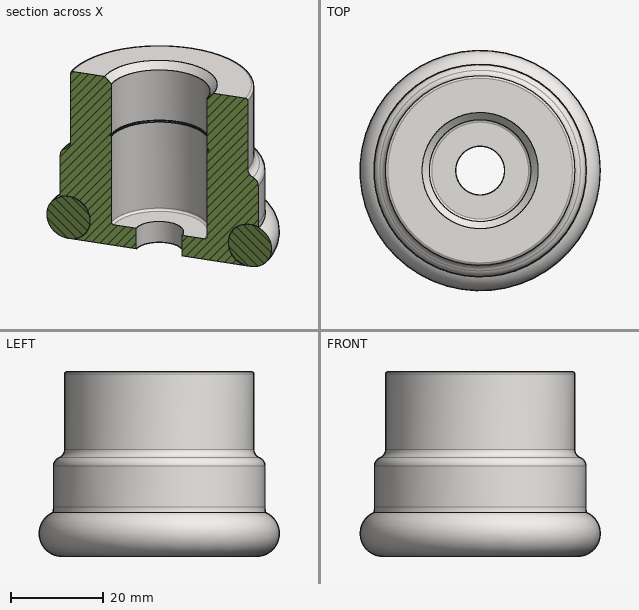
import cadquery as cq
import math

ring_outer_diameter = 52.0
total_height = 40.0

ring_section_radius = 5.0
ring_centre_radius = ring_outer_diameter / 2 - ring_section_radius

neck_radius = 41.0 / 2
neck_edge_radius = 0.5
collar_radius = 45.8 / 2
neck_fillet_top = 23.2
collar_edge_height = 19.55
collar_bottom = 10.7

bore_radius = 22.0 / 2
bore_chamfer = 1.55
bore_floor_fillet = 0.5
groove_radius = 22.5 / 2
groove_top = 26.4
groove_width = 0.4
floor_thickness = ring_section_radius
through_hole_radius = 10.5 / 2

flare_end_height = 9.55
flare_drop = collar_bottom - flare_end_height
flare_end_radius = ring_centre_radius + math.sqrt(
    ring_section_radius ** 2 - (flare_end_height - ring_section_radius) ** 2
)

shoulder_radius = (neck_radius + collar_radius) / 2
shoulder_height = (neck_fillet_top + collar_edge_height) / 2


def revolve_about_z(profile):
    return profile.close().revolve(360, (0, 0, 0), (0, 1, 0))


def make_ring():
    section = cq.Workplane("XZ").center(ring_centre_radius, ring_section_radius).circle(ring_section_radius)
    return section.revolve(360, (-ring_centre_radius, 0, 0), (-ring_centre_radius, 1, 0))


def make_bore():
    """Chamfered blind bore with a rounded floor corner and a hole through the floor."""
    return revolve_about_z(
        cq.Workplane("XZ")
        .moveTo(0, 0)
        .lineTo(through_hole_radius, 0)
        .lineTo(through_hole_radius, floor_thickness)
        .lineTo(bore_radius - bore_floor_fillet, floor_thickness)
        .tangentArcPoint((bore_radius, floor_thickness + bore_floor_fillet), relative=False)
        .lineTo(bore_radius, total_height - bore_chamfer)
        .lineTo(bore_radius + bore_chamfer, total_height)
        .lineTo(0, total_height)
    )


def make_groove():
    return (
        cq.Workplane("XY")
        .workplane(offset=groove_top - groove_width)
        .circle(groove_radius)
        .extrude(groove_width)
    )


def make_outer_shape():
    """Neck, rounded shoulder and flared collar, turned from the top down."""
    return revolve_about_z(
        cq.Workplane("XZ")
        .moveTo(0, total_height)
        .lineTo(neck_radius - neck_edge_radius, total_height)
        .tangentArcPoint((neck_radius, total_height - neck_edge_radius), relative=False)
        .lineTo(neck_radius, neck_fillet_top)
        .tangentArcPoint((shoulder_radius, shoulder_height), relative=False)
        .tangentArcPoint((collar_radius, collar_edge_height), relative=False)
        .lineTo(collar_radius, collar_bottom)
        .tangentArcPoint((flare_end_radius - collar_radius, -flare_drop))
        .lineTo(ring_centre_radius, ring_section_radius)
        .lineTo(ring_centre_radius, 0)
        .lineTo(0, 0)
    )


def make_housing(ring):
    """Bored housing with a round seat that fits the ring."""
    return make_outer_shape().cut(ring).cut(make_bore()).cut(make_groove())


ring = make_ring()
housing = make_housing(ring)

result = cq.Compound.makeCompound([housing.val(), ring.val()])